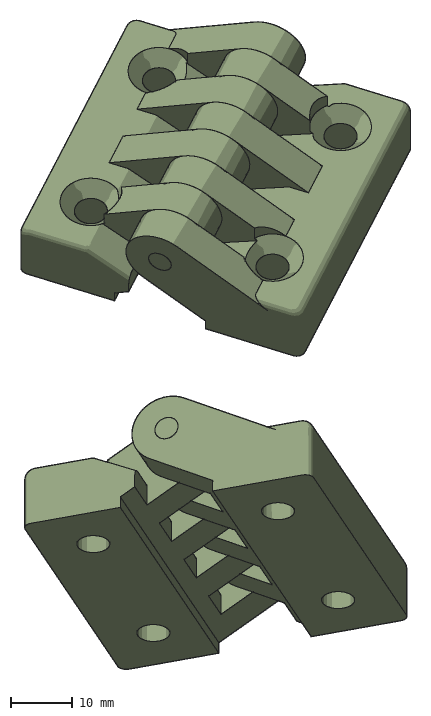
import cadquery as cq
import math

leaf_reach = 24.9
hinge_width = 49.05

knuckle_count = 8
knuckle_pitch = hinge_width / knuckle_count
barrel_radius = 6.0
axis_height = 13.5
pin_diameter = 4.0
arm_angle = math.radians(30)

plate_height = 11.0
foot_inner = 7.95
nose_inner = 5.5
ramp_start = 12.9
nose_height = 7.15
ramp_blend_radius = 1.0
end_top_radius = 2.0
side_radius = 1.5

hole_reach = 15.95
hole_spacing = 29.9
hole_diameter = 5.4
sink_diameter = 10.05
sink_depth = (sink_diameter - hole_diameter) / 2

tangent_x = barrel_radius * math.sin(arm_angle)
tangent_z = barrel_radius * math.cos(arm_angle)


def arm_top_reach(z):
    """Distance from the hinge axis at which an arm's upper face has height z."""
    return tangent_x + (axis_height + tangent_z - z) / math.tan(arm_angle)


def arm_underside_z(reach):
    """Height of an arm's lower face at a distance from the hinge axis."""
    return axis_height - tangent_z - (reach + tangent_x) * math.tan(arm_angle)


def make_plate():
    """Screw plate with a ramp falling to the hinge axis, extending towards -X."""
    plate = (
        cq.Workplane("XZ")
        .moveTo(-leaf_reach, 0)
        .lineTo(-leaf_reach, plate_height)
        .lineTo(-ramp_start, plate_height)
        .lineTo(-nose_inner, nose_height)
        .lineTo(-nose_inner, arm_underside_z(nose_inner))
        .lineTo(-foot_inner, arm_underside_z(foot_inner))
        .lineTo(-foot_inner, 0)
        .close()
        .extrude(hinge_width / 2, both=True)
    )
    ramp_edge = cq.selectors.NearestToPointSelector((-ramp_start, 0, plate_height))
    plate = plate.edges(ramp_edge).fillet(ramp_blend_radius)
    end_edge = cq.selectors.NearestToPointSelector((-leaf_reach, 0, plate_height))
    plate = plate.edges(end_edge).fillet(end_top_radius)
    return plate.edges("|Z and <X").fillet(side_radius)


def make_arm(y_start):
    """One knuckle with its sloping arm, reaching down to the mounting face."""
    arm_end_z = plate_height - side_radius
    arm_end = arm_top_reach(arm_end_z)
    return (
        cq.Workplane("XZ", origin=(0, y_start, 0))
        .moveTo(-arm_end, 0)
        .lineTo(-arm_end, arm_end_z)
        .lineTo(-tangent_x, axis_height + tangent_z)
        .threePointArc((barrel_radius, axis_height), (tangent_x, axis_height - tangent_z))
        .lineTo(-foot_inner, arm_underside_z(foot_inner))
        .lineTo(-foot_inner, 0)
        .close()
        .extrude(-knuckle_pitch)
    )


def make_screw_cutter(y):
    """Through hole, countersink and room above it for the screw head."""
    sink_bottom = plate_height - sink_depth
    profile = (
        cq.Workplane("XZ", origin=(-hole_reach, y, 0))
        .lineTo(hole_diameter / 2, 0)
        .lineTo(hole_diameter / 2, sink_bottom)
        .lineTo(sink_diameter / 2, plate_height)
        .lineTo(sink_diameter / 2, axis_height + barrel_radius)
        .lineTo(0, axis_height + barrel_radius)
        .close()
    )
    return profile.revolve(360, (0, 0, 0), (0, 1, 0))


def make_pin():
    """Hinge pin, flush with both ends of the hinge."""
    return (
        cq.Workplane("XZ", origin=(0, 0, axis_height))
        .circle(pin_diameter / 2)
        .extrude(hinge_width / 2, both=True)
    )


def make_leaf():
    """Leaf on the -X side: plate, every second knuckle, screw holes and pin bore."""
    leaf = make_plate()
    for index in range(1, knuckle_count, 2):
        leaf = leaf.union(make_arm(-hinge_width / 2 + index * knuckle_pitch))
    for y in (-hole_spacing / 2, hole_spacing / 2):
        leaf = leaf.cut(make_screw_cutter(y))
    return leaf.cut(make_pin())


pin = make_pin()

leaves = []
for turn in (0, 180):
    leaf = make_leaf().rotate((0, 0, 0), (0, 0, 1), turn)
    leaves.append(leaf.solids().val())

result = cq.Compound.makeCompound([pin.val(), *leaves])